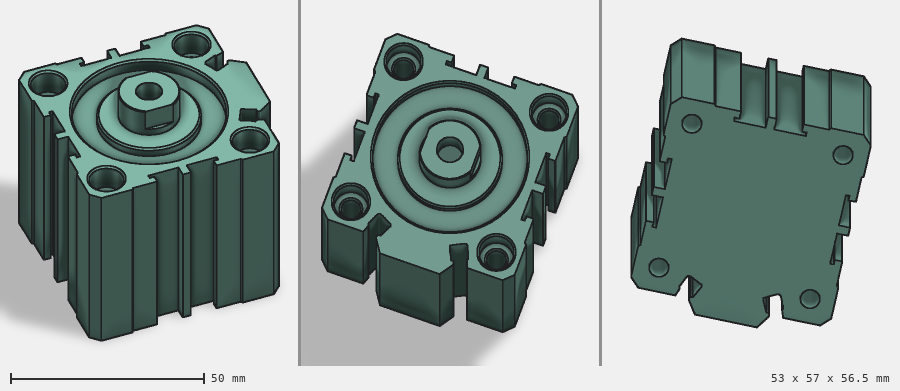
import cadquery as cq

housing_height = 49.5
pad_face = 26.5
side_face = 26.0
pad_inner_end = 15.45
pad_slope_end = 15.0
corner_chamfer = 2.45

slot_mouth_half = 8.25
slot_undercut_half = 9.5
slot_lip_inner = 24.0
slot_floor = 23.0
rib_half = 1.15
slot_edge_break = 0.1

rail_face = 30.5
rail_top_half = 8.2
rail_nose_top = (10.55, 27.0)
rail_nose_tip = (10.6, 26.45)
rail_nose_bottom = (10.25, 26.0)
rail_lip = (9.7, 26.0)
groove_inner_corner = (8.0, 22.35)
groove_outer_corner = (12.15, 20.25)
groove_step_bottom = (13.8, 24.05)
groove_step_top = (13.5, 24.4)
groove_mouth = (14.25, pad_face)
groove_inner_fillet = 0.4
groove_outer_fillet = 0.8

mount_half_pitch = 20.0
mount_hole_diameter = 5.0
counterbore_diameter = 9.0
counterbore_depth = 7.0
mount_chamfer = 0.5

recess_diameter = 40.0
recess_depth = 3.5
collar_diameter = 27.0
collar_drop = 1.0
edge_chamfer = 0.5

rod_diameter = 16.0
rod_projection = 7.0
rod_chamfer = 0.2
rod_flat_width = 14.0
rod_flat_length = 6.0
rod_hole_diameter = 6.8
rod_hole_depth = 8.0

recess_floor_z = housing_height - recess_depth
rod_top_z = housing_height + rod_projection
rod_length = rod_top_z - recess_floor_z


def mirrored(point):
    """Reflect an XY point across the YZ plane."""
    return (-point[0], point[1])


def cylinder(diameter, bottom_z, height):
    """Upright cylinder on the bore axis."""
    return cq.Workplane("XY", origin=(0, 0, bottom_z)).circle(diameter / 2).extrude(height)


def make_block():
    """Chamfered square block, with the rail and its sensor grooves on +Y."""
    block = (
        cq.Workplane("XY")
        .rect(2 * pad_face, 2 * pad_face)
        .extrude(housing_height)
        .edges("|Z")
        .chamfer(corner_chamfer)
    )
    mouth_gap = (
        cq.Workplane("XY")
        .polyline([
            groove_mouth, groove_step_top, groove_step_bottom, groove_outer_corner,
            mirrored(groove_outer_corner), mirrored(groove_step_bottom),
            mirrored(groove_step_top), mirrored(groove_mouth),
        ])
        .close()
        .extrude(housing_height)
    )
    rail = (
        cq.Workplane("XY")
        .moveTo(rail_top_half, rail_face)
        .lineTo(*rail_nose_top)
        .threePointArc(rail_nose_tip, rail_nose_bottom)
        .lineTo(*rail_lip)
        .lineTo(*groove_inner_corner)
        .lineTo(*groove_outer_corner)
        .lineTo(*mirrored(groove_outer_corner))
        .lineTo(*mirrored(groove_inner_corner))
        .lineTo(*mirrored(rail_lip))
        .lineTo(*mirrored(rail_nose_bottom))
        .threePointArc(mirrored(rail_nose_tip), mirrored(rail_nose_top))
        .lineTo(-rail_top_half, rail_face)
        .close()
        .extrude(housing_height)
    )
    block = block.cut(mouth_gap).union(rail)
    groove_fillets = [
        (groove_inner_corner, groove_inner_fillet),
        (groove_outer_corner, groove_outer_fillet),
    ]
    for corner, radius in groove_fillets:
        for x, y in (corner, mirrored(corner)):
            nearest = cq.NearestToPointSelector((x, y, housing_height / 2))
            block = block.edges("|Z").edges(nearest).fillet(radius)
    return block


def make_side_relief():
    """Material removed from the -Y side: the step between the pads and the split T-slot."""
    step = (
        cq.Workplane("XY")
        .polyline([
            (-pad_inner_end, -pad_face), (-pad_slope_end, -side_face),
            (pad_slope_end, -side_face), (pad_inner_end, -pad_face),
        ])
        .close()
        .extrude(housing_height)
    )
    half_slot = (
        cq.Workplane("XY")
        .polyline([
            (rib_half - slot_edge_break, -side_face), (rib_half, -side_face + slot_edge_break),
            (rib_half, -slot_floor),
            (slot_undercut_half, -slot_floor), (slot_undercut_half, -slot_lip_inner),
            (slot_mouth_half, -slot_lip_inner),
            (slot_mouth_half, -side_face + slot_edge_break),
            (slot_mouth_half + slot_edge_break, -side_face),
        ])
        .close()
        .extrude(housing_height)
    )
    return step.union(half_slot).union(half_slot.mirror("YZ"))


def make_mount_hole():
    """Through hole, counterbore and their chamfered mouths, as one cutter on the Z axis."""
    hole_radius = mount_hole_diameter / 2
    counterbore_radius = counterbore_diameter / 2
    counterbore_floor = housing_height - counterbore_depth
    return (
        cq.Workplane("XZ")
        .polyline([
            (0, 0),
            (hole_radius, 0),
            (hole_radius, counterbore_floor - mount_chamfer),
            (hole_radius + mount_chamfer, counterbore_floor),
            (counterbore_radius, counterbore_floor),
            (counterbore_radius, housing_height - mount_chamfer),
            (counterbore_radius + mount_chamfer, housing_height),
            (0, housing_height),
        ])
        .close()
        .revolve(360, (0, 0), (0, 1))
    )


def make_recess():
    """Recess with a chamfered rim, less the collar that stands in it."""
    recess_radius = recess_diameter / 2
    collar_radius = collar_diameter / 2
    collar_top_z = housing_height - collar_drop
    return (
        cq.Workplane("XZ")
        .polyline([
            (0, collar_top_z),
            (collar_radius - edge_chamfer, collar_top_z),
            (collar_radius, collar_top_z - edge_chamfer),
            (collar_radius, recess_floor_z),
            (recess_radius, recess_floor_z),
            (recess_radius, housing_height - edge_chamfer),
            (recess_radius + edge_chamfer, housing_height),
            (0, housing_height),
        ])
        .close()
        .revolve(360, (0, 0), (0, 1))
    )


def make_housing():
    body = make_block()
    for angle in (-90, 0, 90):
        body = body.cut(make_side_relief().rotate((0, 0, 0), (0, 0, 1), angle))
    for x in (-mount_half_pitch, mount_half_pitch):
        for y in (-mount_half_pitch, mount_half_pitch):
            body = body.cut(make_mount_hole().translate((x, y, 0)))
    body = body.cut(make_recess())
    return body.cut(cylinder(rod_diameter, recess_floor_z, recess_depth))


def make_rod():
    """Rod with two wrench flats and a blind hole in its end."""
    body = cylinder(rod_diameter, recess_floor_z, rod_length).faces(">Z").edges().chamfer(rod_chamfer)
    flat_centre = (rod_flat_width + rod_diameter) / 2
    flat_cutters = (
        cq.Workplane("XY", origin=(0, 0, rod_top_z - rod_flat_length))
        .pushPoints([(-flat_centre, 0), (flat_centre, 0)])
        .rect(rod_diameter, rod_diameter)
        .extrude(rod_flat_length)
    )
    end_hole = cylinder(rod_hole_diameter, rod_top_z - rod_hole_depth, rod_hole_depth)
    return body.cut(flat_cutters).cut(end_hole)


housing = make_housing().solids()
rod = make_rod().solids()

result = cq.Compound.makeCompound([housing.val(), rod.val()])